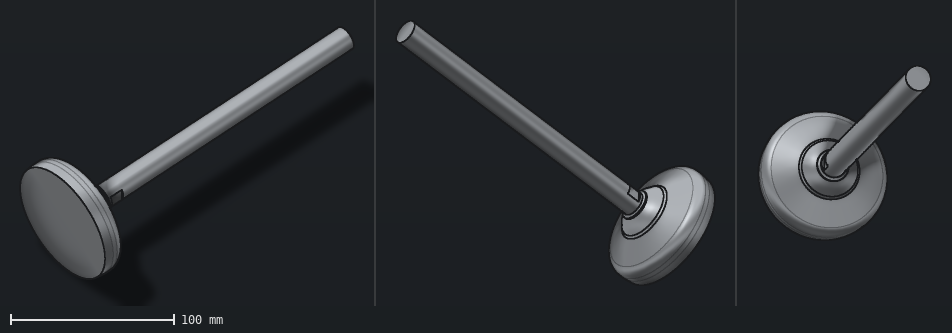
import cadquery as cq
import math


total_length = 231.5

pedestal_radius = 40.0
base_radius = 39.3
taper_top = 6.0
wall_top = 9.2
shoulder_round = 7.0
roof_angle = 20.3
rim_radius = 19.3
seat_height = 23.2

ball_radius = 22.5
ball_centre = 9.5
rod_radius = 8.0
collar_radius = 10.0
collar_top = 30.7
collar_slope_top = 31.5

flat_width = 13.0
flat_bottom = 33.5
flat_length = 9.3


def ball_radius_at(height):
    return math.sqrt(ball_radius**2 - (height - ball_centre) ** 2)


def ball_height_at(radius):
    return ball_centre + math.sqrt(ball_radius**2 - radius**2)


def revolve_about_y(profile):
    return profile.close().revolve(360, (0, 0, 0), (0, 1, 0))


def make_pedestal():
    slope = math.radians(roof_angle)
    round_centre = pedestal_radius - shoulder_round

    def on_round(angle):
        """Point of the shoulder rounding, at an angle above the horizontal."""
        return (
            round_centre + shoulder_round * math.cos(angle),
            wall_top + shoulder_round * math.sin(angle),
        )

    end_angle = math.pi / 2 - slope
    roof_start = on_round(end_angle)
    rim_height = roof_start[1] + (roof_start[0] - rim_radius) * math.tan(slope)

    return revolve_about_y(
        cq.Workplane("XY")
        .lineTo(base_radius, 0)
        .lineTo(pedestal_radius, taper_top)
        .lineTo(pedestal_radius, wall_top)
        .threePointArc(on_round(end_angle / 2), roof_start)
        .lineTo(rim_radius, rim_height)
        .lineTo(ball_radius_at(seat_height), seat_height)
        .lineTo(0, seat_height)
    )


def make_spindle():
    ball_top = ball_height_at(collar_radius)
    ball_middle = (seat_height + ball_top) / 2

    turned = revolve_about_y(
        cq.Workplane("XY")
        .moveTo(0, seat_height)
        .lineTo(ball_radius_at(seat_height), seat_height)
        .threePointArc((ball_radius_at(ball_middle), ball_middle), (collar_radius, ball_top))
        .lineTo(collar_radius, collar_top)
        .lineTo(rod_radius, collar_slope_top)
        .lineTo(rod_radius, total_length)
        .lineTo(0, total_length)
    )

    flat_depth = rod_radius - flat_width / 2
    flat_offset = (flat_width + flat_depth) / 2
    for side in (-1, 1):
        flat_cut = cq.Workplane("XY").box(flat_depth, flat_length, 2 * rod_radius)
        turned = turned.cut(
            flat_cut.translate((side * flat_offset, flat_bottom + flat_length / 2, 0))
        )
    return turned


pedestal = make_pedestal()
spindle = make_spindle()

result = cq.Compound.makeCompound([pedestal.val(), spindle.val()])